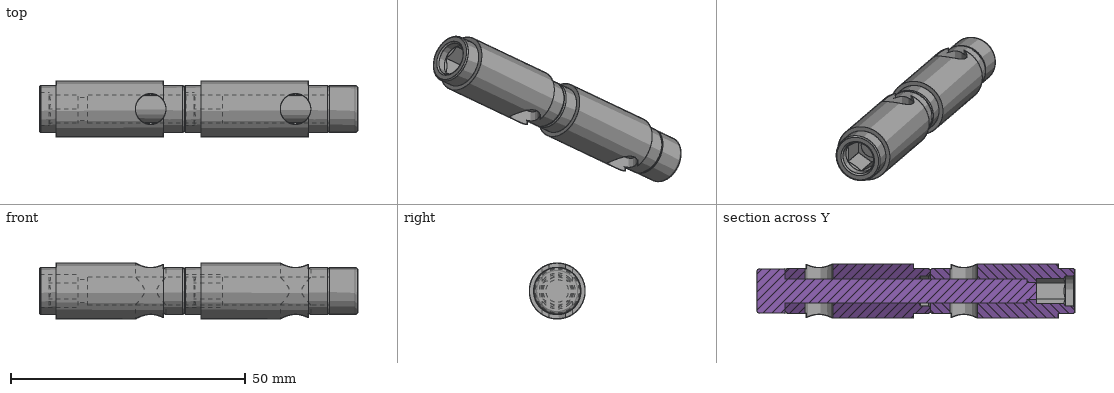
import cadquery as cq

total_length = 68.0
unit_pitch = 30.95
unit_count = 2

journal_diameter = 10.1
sleeve_diameter = 12.0
sleeve_start = 3.55
sleeve_end = 26.45
nose_chamfer = 0.3
tail_chamfer = 0.4

entry_diameter = 7.0
entry_chamfer = 0.35
entry_depth = 2.05
hex_corner_diameter = 7.0
lead_in_depth = 0.35
lead_in_width = 0.55
socket_depth = 8.15

cross_hole_diameter = 6.5
cross_hole_x = 23.7

stem_diameter = 6.0
tip_diameter = 4.8
tip_length = 2.05
cap_diameter = 10.0
cap_rounding = 0.6
cap_start = unit_count * unit_pitch


def cylinder(diameter, start, end):
    """Solid cylinder on the X axis between two X positions."""
    return cq.Workplane("YZ").workplane(offset=start).circle(diameter / 2).extrude(end - start)


def make_rod():
    """Cap and stem reaching back to the socket floor of the first link."""
    cap = cylinder(cap_diameter, cap_start, total_length).faces(">X").edges().fillet(cap_rounding)
    tip_end = socket_depth + tip_length
    stem = cylinder(stem_diameter, tip_end, cap_start)
    tip = cylinder(tip_diameter, socket_depth, tip_end)
    return cap.union(stem).union(tip)


def make_link_blank():
    """Outer shape of a link, with its nose face at X = 0."""
    journal = cylinder(journal_diameter, 0, unit_pitch)
    journal = journal.faces("<X").chamfer(nose_chamfer)
    journal = journal.faces(">X").chamfer(tail_chamfer)
    return journal.union(cylinder(sleeve_diameter, sleeve_start, sleeve_end))


def cut_entry(link):
    """Countersunk round bore, a cone, and a hexagonal socket with corners up and down."""
    bore_radius = entry_diameter / 2
    cone_end = entry_depth + lead_in_depth
    bore = (
        cq.Workplane("XY")
        .polyline([
            (0, 0),
            (0, bore_radius + entry_chamfer),
            (entry_chamfer, bore_radius),
            (entry_depth, bore_radius),
            (cone_end, bore_radius - lead_in_width),
            (cone_end, 0),
        ])
        .close()
        .revolve(360, (0, 0, 0), (1, 0, 0))
    )
    socket = (
        cq.Workplane("YZ")
        .polygon(6, hex_corner_diameter)
        .extrude(socket_depth)
        .rotate((0, 0, 0), (1, 0, 0), 90)
    )
    return link.cut(bore).cut(socket)


def cut_cross_hole(link):
    """Round hole through the link along Z."""
    hole = (
        cq.Workplane("XY")
        .center(cross_hole_x, 0)
        .circle(cross_hole_diameter / 2)
        .extrude(sleeve_diameter, both=True)
    )
    return link.cut(hole)


def make_link(index, rod):
    """One link in its place in the row, bored to fit the rod."""
    link = cut_cross_hole(cut_entry(make_link_blank()))
    return link.translate((index * unit_pitch, 0, 0)).cut(rod)


end_rod = make_rod()
links = [make_link(index, end_rod) for index in range(unit_count)]

result = cq.Compound.makeCompound([end_rod.val(), *[link.val() for link in links]])